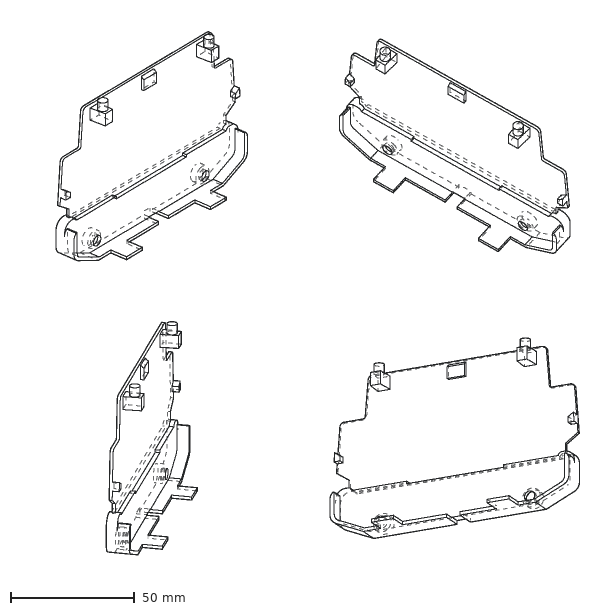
import cadquery as cq
import math

overall_width = 109.4
overall_depth = 18.0
overall_height = 71.7

plate_front = 1.3
plate_thickness = 1.3
plate_back = plate_front + plate_thickness
plate_top = 69.4
top_half_width = 40.3
step_inner_half_width = 41.8
step_height = 51.2
step_outer_half_width = 53.1
tip_half_width = overall_width / 2
tip_height = 29.8
neck_half_width = 49.0
neck_height = 25.9
plate_corner_radius = 2.0
step_inner_radius = 0.9

base_thickness = 4.6
base_half_width = 54.2
base_end_height = 21.9
base_ledge_height = 20.5
base_end_radius = 4.5
base_flat_end = 48.6
base_inner_radius = 2.0
bottom_half_width = 39.1
slope_angle = 23.8
base_lower_radius = 4.3

recess_half_width = 21.9
recess_depth = 1.1

rim_back = 9.6
floor_thickness = 1.4
slope_wall_thickness = 1.5
side_wall_thickness = 2.0
rim_side_height = 16.2
rim_tip_height = 19.0
rim_tip_width = 0.7
rim_tip_radius = 3.6
rim_inner_radius = 3.1

notch_left = -1.3
notch_right = 4.7
notch_height = 1.6

hole_offset = 33.8
hole_height = 5.0
hole_diameter = 4.6
counterbore_diameter = 8.0
counterbore_depth = 3.0

foot_inner = 21.2
foot_width = 10.0

block_offset = 33.2
block_back = 10.3
block_bottom = 61.9
block_top = 67.6
block_root_width = 5.5
block_end_width = 4.6
pin_diameter = 4.3
pin_center_x = 7.0

tab_back = 5.5
tab_bottom = 33.7
tab_top = 37.6
tab_inner_half_width = 51.7
tab_inner_top = 36.1
catch_half_width = 3.9
catch_back = 3.9
catch_top = 68.2
catch_slope_bottom = 67.0

slope = math.tan(math.radians(slope_angle))


def box(x_range, y_range, z_range):
    size = [high - low for low, high in (x_range, y_range, z_range)]
    corner = (x_range[0], y_range[0], z_range[0])
    return cq.Workplane("XY").box(*size, centered=False).translate(corner)


def both_sides(half):
    return half.union(half.mirror("XZ"))


def side_plane(x):
    """Sketch plane facing +X, with local x = Y and local y = Z."""
    return cq.Workplane("YZ", origin=(x, 0, 0))


def round_edge(solid, y, z, radius):
    """Round the X-parallel edge that passes through (y, z)."""
    reach = 0.1
    low = (0, y - reach, z - reach)
    high = (overall_depth, y + reach, z + reach)
    selector = cq.selectors.BoxSelector(low, high)
    return solid.edges("|X").edges(selector).fillet(radius)


def make_plate():
    half = (
        side_plane(plate_front)
        .moveTo(0, 0)
        .lineTo(0, plate_top)
        .lineTo(top_half_width, plate_top)
        .lineTo(step_inner_half_width, step_height)
        .lineTo(step_outer_half_width, step_height)
        .lineTo(tip_half_width, tip_height)
        .lineTo(neck_half_width, neck_height)
        .lineTo(neck_half_width, base_ledge_height)
        .lineTo(bottom_half_width, 0)
        .close()
        .extrude(plate_thickness)
    )
    half = round_edge(half, top_half_width, plate_top, plate_corner_radius)
    half = round_edge(half, step_inner_half_width, step_height, step_inner_radius)
    half = round_edge(half, step_outer_half_width, step_height, plate_corner_radius)
    return both_sides(half)


def make_base():
    lower_corner_height = (base_half_width - bottom_half_width) * slope
    inner_arc_drop = base_end_height - base_ledge_height
    inner_arc_center = base_end_height - base_inner_radius
    inner_arc_run = math.sqrt(base_inner_radius**2 - (base_inner_radius - inner_arc_drop) ** 2)
    half_sweep = math.asin(inner_arc_run / base_inner_radius) / 2
    inner_arc_middle = (
        base_flat_end - base_inner_radius * math.sin(half_sweep),
        inner_arc_center + base_inner_radius * math.cos(half_sweep),
    )
    half = (
        side_plane(0)
        .moveTo(0, 0)
        .lineTo(bottom_half_width, 0)
        .lineTo(base_half_width, lower_corner_height)
        .lineTo(base_half_width, base_end_height)
        .lineTo(base_flat_end, base_end_height)
        .threePointArc(inner_arc_middle, (base_flat_end - inner_arc_run, base_ledge_height))
        .lineTo(0, base_ledge_height)
        .close()
        .extrude(base_thickness)
    )
    half = round_edge(half, base_half_width, lower_corner_height, base_lower_radius)
    half = round_edge(half, base_half_width, base_end_height, base_end_radius)
    recess = box(
        (plate_back, base_thickness),
        (-recess_half_width, recess_half_width),
        (base_ledge_height - recess_depth, base_ledge_height),
    )
    return both_sides(half).cut(recess)


def make_rim():
    lower_corner_height = (base_half_width - bottom_half_width) * slope
    inner_half_width = base_half_width - side_wall_thickness
    slope_lift = slope_wall_thickness / math.cos(math.radians(slope_angle))
    inner_corner_height = (inner_half_width - bottom_half_width) * slope + slope_lift
    inner_floor_end = bottom_half_width - (slope_lift - floor_thickness) / slope
    tip_outer = (inner_half_width + rim_tip_width, rim_tip_height)
    half = (
        side_plane(base_thickness)
        .moveTo(0, 0)
        .lineTo(bottom_half_width, 0)
        .lineTo(base_half_width, lower_corner_height)
        .lineTo(base_half_width, rim_side_height)
        .radiusArc(tip_outer, -rim_tip_radius)
        .lineTo(inner_half_width, rim_tip_height)
        .lineTo(inner_half_width, inner_corner_height)
        .lineTo(inner_floor_end, floor_thickness)
        .lineTo(0, floor_thickness)
        .close()
        .extrude(rim_back - base_thickness)
    )
    half = round_edge(half, base_half_width, lower_corner_height, base_lower_radius)
    half = round_edge(half, inner_half_width, inner_corner_height, rim_inner_radius)
    return both_sides(half)


def make_foot():
    return box((base_thickness, overall_depth), (foot_inner, foot_inner + foot_width), (0, floor_thickness))


def make_pin_block():
    block = (
        cq.Workplane("XY", origin=(0, block_offset, block_bottom))
        .polyline([
            (plate_front, -block_root_width / 2),
            (plate_back, -block_root_width / 2),
            (block_back, -block_end_width / 2),
            (block_back, block_end_width / 2),
            (plate_back, block_root_width / 2),
            (plate_front, block_root_width / 2),
        ])
        .close()
        .extrude(block_top - block_bottom)
    )
    pin = (
        cq.Workplane("XY", origin=(pin_center_x, block_offset, block_bottom))
        .circle(pin_diameter / 2)
        .extrude(overall_height - block_bottom)
    )
    return block.union(pin)


def plate_edge(z):
    """Half width of the plate on its slanted lower side edge."""
    fraction = (z - tip_height) / (step_height - tip_height)
    return tip_half_width + fraction * (step_outer_half_width - tip_half_width)


def make_edge_tab():
    return (
        side_plane(plate_front)
        .moveTo(plate_edge(tab_bottom), tab_bottom)
        .lineTo(plate_edge(tab_top), tab_top)
        .lineTo(tab_inner_half_width, tab_inner_top)
        .lineTo(tab_inner_half_width, tab_bottom)
        .close()
        .extrude(tab_back - plate_front)
    )


def make_catch():
    return (
        cq.Workplane("XZ", origin=(0, catch_half_width, 0))
        .moveTo(plate_front, block_bottom)
        .lineTo(plate_front, catch_top)
        .lineTo(plate_back, catch_top)
        .lineTo(catch_back, catch_slope_bottom)
        .lineTo(catch_back, block_bottom)
        .close()
        .extrude(2 * catch_half_width)
    )


def make_screw_hole():
    hole = (
        side_plane(0)
        .center(hole_offset, hole_height)
        .circle(hole_diameter / 2)
        .extrude(base_thickness)
    )
    counterbore = (
        side_plane(0)
        .center(hole_offset, hole_height)
        .circle(counterbore_diameter / 2)
        .extrude(counterbore_depth)
    )
    return hole.union(counterbore)


body = make_base().union(make_rim()).union(make_plate()).union(make_catch())
for side_feature in (make_foot(), make_pin_block(), make_edge_tab()):
    body = body.union(both_sides(side_feature))

notch = box((0, rim_back), (notch_left, notch_right), (0, notch_height))
result = body.cut(notch).cut(both_sides(make_screw_hole()))